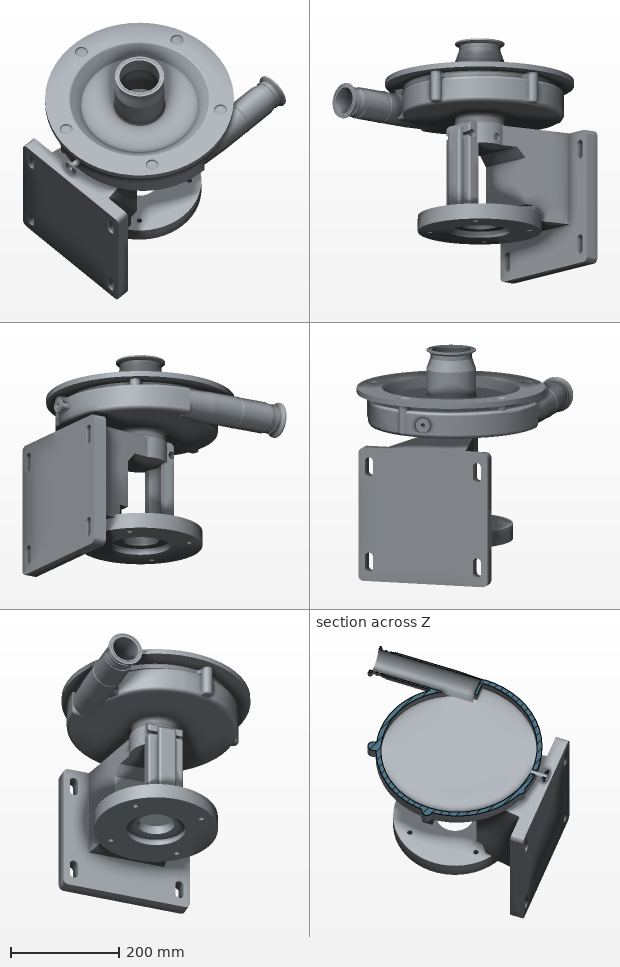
import cadquery as cq
import math


PLATE_SIDE = 250.0
PLATE_FRONT_Y = -179.5
PLATE_THICKNESS = 25.0
PLATE_BACK_Y = PLATE_FRONT_Y + PLATE_THICKNESS
PLATE_CORNER_RADIUS = 10.0
SLOT_SPACING_X = 208.8
SLOT_SPACING_Z = 179.0
SLOT_LENGTH = 36.5
SLOT_WIDTH = 15.5

RING_RADIUS = 114.5
RING_BORE_RADIUS = 35.0
RING_REGISTER_RADIUS = 55.0
RING_REGISTER_DEPTH = 11.5
RING_BOTTOM_Z = 55.0
RING_TOP_Z = 84.0
RING_BOLT_CIRCLE_RADIUS = 92.0
RING_BOLT_DIAMETER = 10.0

HUB_RADIUS = 49.7
HUB_BOTTOM_Z = 213.0
HUB_TOP_Z = 252.8
CROSS_HOLE_DIAMETER = 15.0
HUB_HOLE_Z = 226.0
HUB_HOLE_DEPTH = 6.0
WEB_BOTTOM_Z = 77.5
WEB_BACK_HALF_WIDTH = 74.5
WEB_HUB_HALF_WIDTH = 47.3
WEB_HUB_Y = -14.5
WEB_INNER_Y = -63.3
WEB_SLOPE_RUN = 17.3
WEB_SLOPE_DROP = 19.0
NOTCH_HEIGHT = 21.8
NOTCH_DEPTH_Y = 19.7
NOTCH_WIDTH_X = 26.7
POST_HALF_WIDTH = 34.5
POST_NEAR_Y = 32.0
POST_WALL_Y = 54.0
POST_INNER_RADIUS = 38.2
POST_CORNER_RADIUS = 4.0
RIB_HALF_WIDTH = 17.3
RIB_FAR_Y = 64.0
RIB_CORNER_RADIUS = 5.0
POST_BEVEL_RUN = 19.0
POST_BEVEL_DROP = 16.0
POST_HOLE_Y = 47.3
POST_HOLE_Z = 229.5

VOLUTE_FIRST_RADIUS = 142.2
VOLUTE_STEP = 7.0
VOLUTE_BOTTOM_Z = 270.5
VOLUTE_TOP_Z = 319.0
VOLUTE_BOTTOM_FILLET = 7.5
VOLUTE_TOP_FILLET = 5.5
VOLUTE_WALL = 10.0
CHAMBER_TOP_Z = 312.5
NECK_RADIUS = 46.0
NECK_FLARE_RADIUS = 8.0
RIM_RADIUS = 142.0
RIM_TOP_Z = 327.0
SPIGOT_RADIUS = 139.0

COVER_DIAMETER = 349.8
COVER_BOTTOM_Z = 330.0
COVER_TOP_Z = 340.0
DISH_RADIUS = 129.5
DISH_FLOOR_RADIUS = 108.0
DISH_DEPTH = 18.5
DISH_EDGE_FILLET = 5.0
BOLT_COUNT = 5
BOLT_FIRST_ANGLE = 36
BOLT_CIRCLE_RADIUS = 152.0
BOLT_RECESS_DIAMETER = 23.5
BOLT_RECESS_DEPTH = 2.5
BOLT_RECESS_TAPER = 25
BOSS_DIAMETER = 20.0
BOSS_ROOT_RADIUS = 131.5
BOSS_BOTTOM_Z = 273.0
BOSS_FILLET = 4.0
BRIDGE_FILLET = 11.5

TOTAL_HEIGHT = 411.0
INLET_RADIUS = 46.0
INLET_BORE_RADIUS = 43.5
INLET_FERRULE_RADIUS = 45.5
INLET_NECK_RADIUS = 38.5
INLET_NECK_BORE_RADIUS = 37.0
INLET_NECK_BORE_BOTTOM_Z = 381.0
INLET_CONE_TOP_Z = 395.8
INLET_CONE_BOTTOM_Z = 375.0
INLET_FLARE_WIDTH = 2.0
INLET_FLARE_HEIGHT = 5.5

OUTLET_Z = 296.7
OUTLET_X = 139.0
OUTLET_END_Y = 211.3
OUTLET_RADIUS = 29.0
OUTLET_BORE_RADIUS = 24.5
OUTLET_FERRULE_RADIUS = 33.0
OUTLET_NECK_RADIUS = 26.5
OUTLET_COLLAR_RADIUS = 28.0
COLLAR_END_Y = 198.0
COLLAR_START_Y = 195.2
REDUCER_END_Y = 192.8
REDUCER_START_Y = 184.5
OUTLET_SHOULDER_Y = 179.5
WELD_Y = 120.0
WELD_HEIGHT = 1.0
OUTLET_TAPER_Y = 57.5
OUTLET_ROOT_RADIUS = 26.7
DRAIN_Z = 298.0
DRAIN_END_Y = -181.0
DRAIN_ROOT_Y = -152.0
DRAIN_RADIUS = 6.0
DRAIN_BORE_RADIUS = 4.5
DRAIN_FERRULE_RADIUS = 13.0

RIM_THICKNESS = 0.7
RIM_TAPER = 1.0
GROOVE_WIDTH = 2.5
GROOVE_DEPTH = 1.2

TOLERANCE = 0.05


def cylinder(radius, bottom, top):
    return cq.Workplane("XY").workplane(offset=bottom).circle(radius).extrude(top - bottom)


def cylinder_along_y(x, z, radius, start_y, end_y):
    plane = cq.Plane(origin=(x, start_y, z), xDir=(1, 0, 0), normal=(0, 1, 0))
    return cq.Workplane(plane).circle(radius).extrude(end_y - start_y)


def ferrule_points(end, outward, rim_radius, neck_radius):
    """Outer (radius, height) points of a ferrule; outward is +1 or -1 along the pipe."""
    return [
        (0, end),
        (rim_radius, end),
        (rim_radius, end - outward * RIM_THICKNESS),
        (neck_radius, end - outward * (RIM_THICKNESS + RIM_TAPER)),
    ]


def gasket_groove(plane, rim_radius, bore_radius):
    """Ring groove halfway across a ferrule face; the plane's normal points out of the pipe."""
    middle = (rim_radius + bore_radius) / 2
    return (
        cq.Workplane(plane)
        .circle(middle + GROOVE_WIDTH / 2)
        .circle(middle - GROOVE_WIDTH / 2)
        .extrude(-GROOVE_DEPTH)
    )


def revolve_along_y(points, x, z):
    """Revolve (radius, y) points about the line along Y through x and z."""
    return (
        cq.Workplane(cq.Plane(origin=(x, 0, z), xDir=(1, 0, 0), normal=(0, 0, 1)))
        .polyline(points)
        .close()
        .revolve(360, (0, 0, 0), (0, 1, 0))
    )


def mounting_plate():
    middle_z = PLATE_SIDE / 2
    plate = (
        cq.Workplane("XZ", origin=(0, PLATE_FRONT_Y, middle_z))
        .rect(PLATE_SIDE, PLATE_SIDE)
        .extrude(-PLATE_THICKNESS)
        .edges("|Y")
        .fillet(PLATE_CORNER_RADIUS)
    )
    slots = (
        cq.Workplane("XZ", origin=(0, PLATE_FRONT_Y, middle_z))
        .rect(SLOT_SPACING_X, SLOT_SPACING_Z, forConstruction=True)
        .vertices()
        .slot2D(SLOT_LENGTH, SLOT_WIDTH, 90)
        .extrude(-PLATE_THICKNESS)
    )
    return plate.cut(slots)


def motor_ring():
    ring = cylinder(RING_RADIUS, RING_BOTTOM_Z, RING_TOP_Z)
    register_top_z = RING_BOTTOM_Z + RING_REGISTER_DEPTH
    ring = ring.cut(cylinder(RING_REGISTER_RADIUS, RING_BOTTOM_Z, register_top_z))
    ring = ring.cut(cylinder(RING_BORE_RADIUS, RING_BOTTOM_Z, RING_TOP_Z))
    return (
        ring.faces(">Z")
        .workplane(origin=(0, 0, RING_TOP_Z))
        .polarArray(RING_BOLT_CIRCLE_RADIUS, 45, 360, 4)
        .hole(RING_BOLT_DIAMETER)
    )


def web_half_width(y):
    """Half width of the web, which widens evenly from the hub to the plate."""
    flare = (WEB_BACK_HALF_WIDTH - WEB_HUB_HALF_WIDTH) / (WEB_HUB_Y - PLATE_BACK_Y)
    return WEB_HUB_HALF_WIDTH + flare * (WEB_HUB_Y - y)


def web():
    side_profile = (
        cq.Workplane("YZ")
        .polyline([
            (PLATE_BACK_Y, WEB_BOTTOM_Z),
            (WEB_INNER_Y, WEB_BOTTOM_Z),
            (WEB_INNER_Y, HUB_BOTTOM_Z - WEB_SLOPE_DROP),
            (WEB_INNER_Y + WEB_SLOPE_RUN, HUB_BOTTOM_Z),
            (WEB_HUB_Y, HUB_BOTTOM_Z),
            (WEB_HUB_Y, PLATE_SIDE),
            (PLATE_BACK_Y, PLATE_SIDE),
        ])
        .close()
        .extrude(WEB_BACK_HALF_WIDTH, both=True)
    )
    plan = (
        cq.Workplane("XY")
        .polyline([
            (-WEB_BACK_HALF_WIDTH, PLATE_BACK_Y),
            (WEB_BACK_HALF_WIDTH, PLATE_BACK_Y),
            (WEB_HUB_HALF_WIDTH, WEB_HUB_Y),
            (-WEB_HUB_HALF_WIDTH, WEB_HUB_Y),
        ])
        .close()
        .extrude(PLATE_SIDE)
    )
    solid = side_profile.intersect(plan)
    notch_y = WEB_INNER_Y - NOTCH_DEPTH_Y
    notch_x = web_half_width(notch_y)
    for side in (-1, 1):
        notch = (
            cq.Workplane("XY", origin=(0, 0, RING_TOP_Z))
            .polyline([
                (side * notch_x, notch_y),
                (side * notch_x, WEB_INNER_Y),
                (side * (notch_x - NOTCH_WIDTH_X), WEB_INNER_Y),
            ])
            .close()
            .extrude(NOTCH_HEIGHT)
        )
        solid = solid.cut(notch)
    return solid


def post():
    height = HUB_TOP_Z - RING_TOP_Z
    wall = (
        cq.Workplane("XY", origin=(0, (POST_NEAR_Y + POST_WALL_Y) / 2, RING_TOP_Z))
        .rect(2 * POST_HALF_WIDTH, POST_WALL_Y - POST_NEAR_Y)
        .extrude(height)
        .edges("|Z and >Y")
        .fillet(POST_CORNER_RADIUS)
    )
    rib = (
        cq.Workplane("XY", origin=(0, (POST_NEAR_Y + RIB_FAR_Y) / 2, RING_TOP_Z))
        .rect(2 * RIB_HALF_WIDTH, RIB_FAR_Y - POST_NEAR_Y)
        .extrude(height)
        .edges("|Z and >Y")
        .fillet(RIB_CORNER_RADIUS)
    )
    bevel = (
        cq.Workplane("YZ")
        .polyline([
            (RIB_FAR_Y, HUB_TOP_Z),
            (RIB_FAR_Y - POST_BEVEL_RUN, HUB_TOP_Z),
            (RIB_FAR_Y, HUB_TOP_Z - POST_BEVEL_DROP),
        ])
        .close()
        .extrude(POST_HALF_WIDTH, both=True)
    )
    return wall.union(rib).cut(bevel).cut(cylinder(POST_INNER_RADIUS, RING_TOP_Z, HUB_TOP_Z))


def bracket():
    hub = cylinder(HUB_RADIUS, HUB_BOTTOM_Z, HUB_TOP_Z)
    body = motor_ring().union(web()).union(hub).union(post()).union(mounting_plate())
    post_hole = (
        cq.Workplane("YZ", origin=(0, POST_HOLE_Y, POST_HOLE_Z))
        .circle(CROSS_HOLE_DIAMETER / 2)
        .extrude(HUB_RADIUS, both=True)
    )
    body = body.cut(post_hole)
    hub_hole = (
        cq.Workplane("YZ", origin=(-HUB_RADIUS, 0, HUB_HOLE_Z))
        .circle(CROSS_HOLE_DIAMETER / 2)
        .extrude(HUB_HOLE_DEPTH)
    )
    return body.cut(hub_hole)


def volute(inset, bottom, top):
    """Spiral block; its arc centres are the corners of a square one step wide."""
    half = VOLUTE_STEP / 2
    centres = [(-half, half), (-half, -half), (half, -half), (half, half)]
    first_radius = VOLUTE_FIRST_RADIUS - inset
    outline = cq.Workplane("XY", origin=(0, 0, bottom)).moveTo(first_radius - half, half)
    for quarter, (x, y) in enumerate(centres):
        radius = first_radius + quarter * VOLUTE_STEP
        middle = math.radians(90 * quarter + 45)
        end = math.radians(90 * quarter + 90)
        outline = outline.threePointArc(
            (x + radius * math.cos(middle), y + radius * math.sin(middle)),
            (x + radius * math.cos(end), y + radius * math.sin(end)),
        )
    return outline.close().extrude(top - bottom)


def lower_neck():
    flare_start_z = VOLUTE_BOTTOM_Z - NECK_FLARE_RADIUS
    diagonal = NECK_FLARE_RADIUS * (1 - math.sqrt(0.5))
    return (
        cq.Workplane("XZ")
        .moveTo(0, HUB_TOP_Z)
        .lineTo(NECK_RADIUS, HUB_TOP_Z)
        .lineTo(NECK_RADIUS, flare_start_z)
        .threePointArc(
            (NECK_RADIUS + diagonal, VOLUTE_BOTTOM_Z - diagonal),
            (NECK_RADIUS + NECK_FLARE_RADIUS, VOLUTE_BOTTOM_Z),
        )
        .lineTo(0, VOLUTE_BOTTOM_Z)
        .close()
        .revolve(360, (0, 0, 0), (0, 1, 0))
    )


def around_bolts(feature):
    """Repeat a feature placed on +X at every bolt position."""
    group = cq.Workplane("XY")
    for index in range(BOLT_COUNT):
        angle = BOLT_FIRST_ANGLE + index * 360 / BOLT_COUNT
        group = group.union(feature.rotate((0, 0, 0), (0, 0, 1), angle))
    return group


def bosses():
    """Bolt bosses under the cover: round outside, with flat sides running into the housing."""
    straight = BOLT_CIRCLE_RADIUS - BOSS_ROOT_RADIUS
    plan = cq.Workplane("XY", origin=(0, 0, BOSS_BOTTOM_Z))
    boss = (
        plan.moveTo(BOSS_ROOT_RADIUS, -BOSS_DIAMETER / 2)
        .line(straight, 0)
        .threePointArc(
            (BOLT_CIRCLE_RADIUS + BOSS_DIAMETER / 2, 0),
            (BOLT_CIRCLE_RADIUS, BOSS_DIAMETER / 2),
        )
        .line(-straight, 0)
        .close()
        .extrude(COVER_BOTTOM_Z - BOSS_BOTTOM_Z)
        .faces("<Z")
        .edges()
        .fillet(BOSS_FILLET)
    )
    return around_bolts(boss)


def rim():
    """Round rim with a bridge out to each boss, blended where bridge and rim meet."""
    bridge = (
        cq.Workplane("XY", origin=(BOLT_CIRCLE_RADIUS / 2, 0, VOLUTE_TOP_Z))
        .rect(BOLT_CIRCLE_RADIUS, BOSS_DIAMETER)
        .extrude(RIM_TOP_Z - VOLUTE_TOP_Z)
    )
    bridged = cylinder(RIM_RADIUS, VOLUTE_TOP_Z, RIM_TOP_Z).union(around_bolts(bridge))

    def is_inner_corner(edge):
        centre = edge.Center()
        on_rim = abs(math.hypot(centre.x, centre.y) - RIM_RADIUS) < TOLERANCE
        return on_rim and abs(centre.y) > TOLERANCE

    return bridged.edges("|Z").filter(is_inner_corner).fillet(BRIDGE_FILLET)


def housing():
    body = (
        volute(0, VOLUTE_BOTTOM_Z, VOLUTE_TOP_Z)
        .faces("<Z")
        .edges()
        .fillet(VOLUTE_BOTTOM_FILLET)
        .faces(">Z")
        .edges()
        .fillet(VOLUTE_TOP_FILLET)
    )
    body = body.union(rim())
    body = body.union(cylinder(SPIGOT_RADIUS, RIM_TOP_Z, COVER_BOTTOM_Z))
    return body.union(lower_neck()).union(bosses())


def cover():
    disc = cylinder(COVER_DIAMETER / 2, COVER_BOTTOM_Z, COVER_TOP_Z)
    recesses = (
        cq.Workplane("XY", origin=(0, 0, COVER_TOP_Z))
        .polarArray(BOLT_CIRCLE_RADIUS, BOLT_FIRST_ANGLE, 360, BOLT_COUNT)
        .circle(BOLT_RECESS_DIAMETER / 2)
        .extrude(-BOLT_RECESS_DEPTH, taper=BOLT_RECESS_TAPER)
    )
    return disc.cut(recesses)


def dish():
    """Tapered recess in the middle of the cover, with a rounded upper edge."""
    floor_z = COVER_TOP_Z - DISH_DEPTH
    slope = math.atan2(DISH_DEPTH, DISH_RADIUS - DISH_FLOOR_RADIUS)
    tangent = DISH_EDGE_FILLET * math.tan(slope / 2)
    round_centre = (DISH_RADIUS + tangent, COVER_TOP_Z - DISH_EDGE_FILLET)

    def round_point(angle):
        x = round_centre[0] - DISH_EDGE_FILLET * math.sin(angle)
        return (x, round_centre[1] + DISH_EDGE_FILLET * math.cos(angle))

    return (
        cq.Workplane("XZ")
        .moveTo(0, floor_z)
        .lineTo(DISH_FLOOR_RADIUS, floor_z)
        .lineTo(*round_point(slope))
        .threePointArc(round_point(slope / 2), round_point(0))
        .lineTo(0, COVER_TOP_Z)
        .close()
        .revolve(360, (0, 0, 0), (0, 1, 0))
    )


def inlet():
    base_z = COVER_TOP_Z - DISH_DEPTH
    profile = ferrule_points(TOTAL_HEIGHT, 4, INLET_FERRULE_RADIUS, INLET_NECK_RADIUS)
    profile += [
        (INLET_NECK_RADIUS, INLET_CONE_TOP_Z),
        (INLET_RADIUS, INLET_CONE_BOTTOM_Z),
        (INLET_RADIUS, base_z + INLET_FLARE_HEIGHT),
    ]
    pipe = (
        cq.Workplane("XZ")
        .polyline(profile)
        .tangentArcPoint((INLET_RADIUS + INLET_FLARE_WIDTH, base_z), relative=False)
        .lineTo(0, base_z)
        .close()
        .revolve(360, (0, 0, 0), (0, 1, 0))
    )
    face = cq.Plane(origin=(0, 0, TOTAL_HEIGHT), xDir=(1, 0, 0), normal=(0, 0, 1))
    return pipe.cut(gasket_groove(face, INLET_FERRULE_RADIUS, INLET_NECK_BORE_RADIUS))


def outlet():
    profile = ferrule_points(OUTLET_END_Y, 4, OUTLET_FERRULE_RADIUS, OUTLET_NECK_RADIUS)
    profile += [
        (OUTLET_NECK_RADIUS, COLLAR_END_Y),
        (OUTLET_COLLAR_RADIUS, COLLAR_END_Y),
        (OUTLET_COLLAR_RADIUS, COLLAR_START_Y),
        (OUTLET_NECK_RADIUS, COLLAR_START_Y),
        (OUTLET_NECK_RADIUS, REDUCER_END_Y),
        (OUTLET_COLLAR_RADIUS, REDUCER_START_Y),
        (OUTLET_COLLAR_RADIUS, OUTLET_SHOULDER_Y),
        (OUTLET_RADIUS, OUTLET_SHOULDER_Y),
        (OUTLET_RADIUS, WELD_Y + WELD_HEIGHT),
        (OUTLET_RADIUS + WELD_HEIGHT, WELD_Y),
        (OUTLET_RADIUS, WELD_Y - WELD_HEIGHT),
        (OUTLET_RADIUS, OUTLET_TAPER_Y),
        (OUTLET_ROOT_RADIUS, 0),
        (0, 0),
    ]
    face = cq.Plane(origin=(OUTLET_X, OUTLET_END_Y, OUTLET_Z), xDir=(1, 0, 0), normal=(0, 1, 0))
    groove = gasket_groove(face, OUTLET_FERRULE_RADIUS, OUTLET_BORE_RADIUS)
    return revolve_along_y(profile, OUTLET_X, OUTLET_Z).cut(groove)


def drain():
    profile = ferrule_points(DRAIN_END_Y, -4, DRAIN_FERRULE_RADIUS, DRAIN_RADIUS)
    profile += [(DRAIN_RADIUS, DRAIN_ROOT_Y), (0, DRAIN_ROOT_Y)]
    face = cq.Plane(origin=(0, DRAIN_END_Y, DRAIN_Z), xDir=(1, 0, 0), normal=(0, -1, 0))
    groove = gasket_groove(face, DRAIN_FERRULE_RADIUS, DRAIN_BORE_RADIUS)
    return revolve_along_y(profile, 0, DRAIN_Z).cut(groove)


def flow_path():
    """Hollow inside: pump chamber with the inlet, outlet and drain bores opening into it."""
    chamber_bottom_z = VOLUTE_BOTTOM_Z + VOLUTE_WALL
    chamber = volute(VOLUTE_WALL, chamber_bottom_z, CHAMBER_TOP_Z)
    inlet_bore = cylinder(INLET_BORE_RADIUS, chamber_bottom_z, INLET_CONE_BOTTOM_Z)
    step = (
        cq.Workplane("XY", origin=(0, 0, INLET_CONE_BOTTOM_Z))
        .circle(INLET_BORE_RADIUS)
        .workplane(offset=INLET_NECK_BORE_BOTTOM_Z - INLET_CONE_BOTTOM_Z)
        .circle(INLET_NECK_BORE_RADIUS)
        .loft()
    )
    neck_bore = cylinder(INLET_NECK_BORE_RADIUS, INLET_NECK_BORE_BOTTOM_Z, TOTAL_HEIGHT)
    chamber_edge_y = VOLUTE_FIRST_RADIUS - VOLUTE_WALL
    outlet_bore = cylinder_along_y(OUTLET_X, OUTLET_Z, OUTLET_BORE_RADIUS, VOLUTE_WALL, OUTLET_END_Y)
    drain_bore = cylinder_along_y(0, DRAIN_Z, DRAIN_BORE_RADIUS, DRAIN_END_Y, -chamber_edge_y)
    space = chamber
    for bore in (inlet_bore, step, neck_bore, outlet_bore, drain_bore):
        space = space.union(bore)
    return space


pump = housing().union(cover()).cut(dish())
for pipe in (inlet(), outlet(), drain()):
    pump = pump.union(pipe)
pump = pump.cut(flow_path())

result = bracket().union(pump)